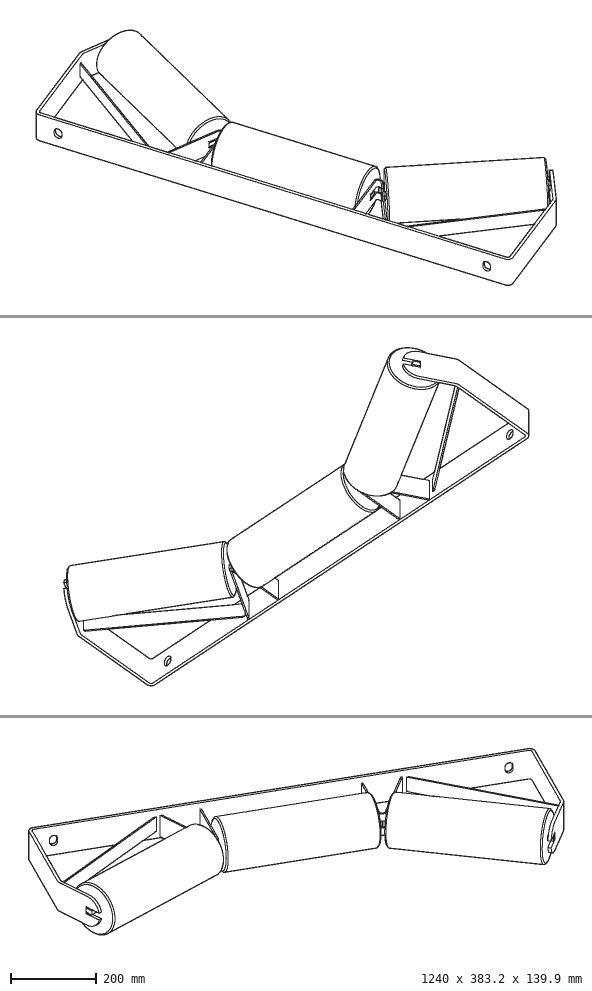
import cadquery as cq
import math

FRAME_WIDTH = 1240.0
FRAME_HEIGHT = 79.0
FRAME_THICKNESS = 8.0
FRAME_CORNER_RADIUS = 14.0
ARM_BEND_RADIUS = 19.0
ARM_BEND_Y = 248.0
ARM_LENGTH = 134.0
SHAFT_TO_ARM_BEND = 100.0
MOUNT_HOLE_X = 558.0
MOUNT_HOLE_WIDTH = 20.0
MOUNT_HOLE_LENGTH = 27.0

TROUGH_ANGLE = 30.0
ROLLER_DIAMETER = 133.0
ROLLER_LENGTH = 380.0
ROLLER_CHAMFER = 4.0
ROLLER_GAP = 6.0
CENTRE_ROLLER_Y = 126.0
CENTRE_ROLLER_DROP = 7.0

SHAFT_DIAMETER = 20.0
SHAFT_FLATS = 11.8
SLOT_WIDTH = 19.0

PLATE_THICKNESS = 4.0
BRACKET_HEIGHT = 60.0
BRACKET_TOP_Y = 153.0
BRACKET_BEND_RADIUS = 7.0

STAY_HEIGHT = 40.0
STAY_WALL_Y = 235.0
STAY_FOOT_X = 306.0

SIN_TROUGH = math.sin(math.radians(TROUGH_ANGLE))
COS_TROUGH = math.cos(math.radians(TROUGH_ANGLE))

CUT_LENGTH = 12.0
SLOT_CUT_DEPTH = 124.0

INNER_FACE = ROLLER_LENGTH / 2 + ROLLER_GAP
BRACKET_SHAFT_END = INNER_FACE + PLATE_THICKNESS
ARM_SHAFT_END = INNER_FACE + FRAME_THICKNESS

SIDE_ROLLER_X = FRAME_WIDTH / 2 - SHAFT_TO_ARM_BEND * SIN_TROUGH - ARM_SHAFT_END * COS_TROUGH
SIDE_ROLLER_Y = ARM_BEND_Y + SHAFT_TO_ARM_BEND * COS_TROUGH - ARM_SHAFT_END * SIN_TROUGH
SIDE_ROLLER_TILT = math.degrees(math.asin(CENTRE_ROLLER_DROP / ROLLER_LENGTH))
SIDE_ROLLER_Z = -CENTRE_ROLLER_DROP / 2


def side_point(along, across):
    """Point (x, y) given along and across the right-hand side roller's axis."""
    return (
        SIDE_ROLLER_X + along * COS_TROUGH - across * SIN_TROUGH,
        SIDE_ROLLER_Y + along * SIN_TROUGH + across * COS_TROUGH,
    )


def mirrored(body):
    """The same body on the left-hand side."""
    return body.mirror("YZ")


def plate(outline, height):
    """Upright plate with the given plan outline, from half its height below Z = 0 to half above."""
    base = cq.Workplane("XY", origin=(0, 0, -height / 2))
    return base.polyline(outline).close().extrude(height)


def bend(body, corner, radius):
    """Round the upright edge at a plan corner."""
    return body.edges(cq.selectors.NearestToPointSelector((*corner, 0))).fillet(radius)


def shaft_slot(along, shaft_z):
    """Cutter for a slot across the side roller's axis, open at its upper (+Y) end."""
    return (
        cq.Workplane("XY")
        .box(CUT_LENGTH, SLOT_CUT_DEPTH, SLOT_WIDTH)
        .translate((along, SLOT_CUT_DEPTH / 2 - SHAFT_DIAMETER / 2, shaft_z))
    )


def at_side(body):
    """Move a body from the axis of a level roller at the origin to the side roller's place."""
    return body.rotate((0, 0, 0), (0, 0, 1), TROUGH_ANGLE).translate((SIDE_ROLLER_X, SIDE_ROLLER_Y, 0))


def make_frame():
    half_width = FRAME_WIDTH / 2
    inner_half_width = half_width - FRAME_THICKNESS
    inner_bend_y = ARM_BEND_Y - FRAME_THICKNESS * math.tan(math.radians(TROUGH_ANGLE / 2))
    tip_across = ARM_LENGTH - SHAFT_TO_ARM_BEND
    outer_corners = [(half_width, 0), (half_width, ARM_BEND_Y)]
    inner_corners = [(inner_half_width, inner_bend_y), (inner_half_width, FRAME_THICKNESS)]
    tip = [side_point(ARM_SHAFT_END, tip_across), side_point(INNER_FACE, tip_across)]

    half = plate([(0, 0), *outer_corners, *tip, *inner_corners, (0, FRAME_THICKNESS)], FRAME_HEIGHT)
    for corner, radius in zip(outer_corners, [FRAME_CORNER_RADIUS, ARM_BEND_RADIUS]):
        half = bend(half, corner, radius)
    for corner, radius in zip(inner_corners, [ARM_BEND_RADIUS, FRAME_CORNER_RADIUS]):
        half = bend(half, corner, radius - FRAME_THICKNESS)

    tip_radius = FRAME_HEIGHT / 2
    round_centre = tip_across - tip_radius
    tip_corners = (
        cq.Workplane("YZ")
        .rect(2 * tip_radius, 2 * FRAME_HEIGHT)
        .extrude(2 * ARM_SHAFT_END)
        .translate((0, tip_radius, 0))
        .cut(cq.Workplane("YZ").circle(tip_radius).extrude(2 * ARM_SHAFT_END))
        .translate((0, round_centre, 0))
    )
    half = half.cut(at_side(tip_corners))
    half = half.cut(at_side(shaft_slot((INNER_FACE + ARM_SHAFT_END) / 2, 0)))

    mount_hole = (
        cq.Workplane("XZ", origin=(MOUNT_HOLE_X, FRAME_THICKNESS, 0))
        .slot2D(MOUNT_HOLE_LENGTH, MOUNT_HOLE_WIDTH, 90)
        .extrude(CUT_LENGTH)
    )
    half = half.cut(mount_hole)
    return half.union(mirrored(half))


def make_bracket():
    """Right-hand bracket: an upright leg, a short flat top and a leg square to the side roller."""

    def leaning_leg_point(along, y):
        start_x, start_y = side_point(along, 0)
        return (start_x - (y - start_y) * math.tan(math.radians(TROUGH_ANGLE)), y)

    under_top_y = BRACKET_TOP_Y - PLATE_THICKNESS
    outer_corners = [(INNER_FACE, BRACKET_TOP_Y), leaning_leg_point(-INNER_FACE, BRACKET_TOP_Y)]
    inner_corners = [leaning_leg_point(-BRACKET_SHAFT_END, under_top_y), (BRACKET_SHAFT_END, under_top_y)]
    leaning_foot = [
        leaning_leg_point(-INNER_FACE, FRAME_THICKNESS),
        leaning_leg_point(-BRACKET_SHAFT_END, FRAME_THICKNESS),
    ]
    upright_foot = [(BRACKET_SHAFT_END, FRAME_THICKNESS), (INNER_FACE, FRAME_THICKNESS)]

    bracket = plate([*outer_corners, *leaning_foot, *inner_corners, *upright_foot], BRACKET_HEIGHT)
    for corner in outer_corners:
        bracket = bend(bracket, corner, BRACKET_BEND_RADIUS)
    for corner in inner_corners:
        bracket = bend(bracket, corner, BRACKET_BEND_RADIUS - PLATE_THICKNESS)

    bracket = bracket.translate((0, 0, -CENTRE_ROLLER_DROP))

    leg_middle = (INNER_FACE + BRACKET_SHAFT_END) / 2
    level_slot = shaft_slot(leg_middle, -CENTRE_ROLLER_DROP).translate((0, CENTRE_ROLLER_Y, 0))
    leaning_slot = at_side(shaft_slot(-leg_middle, -CENTRE_ROLLER_DROP))
    return bracket.cut(level_slot).cut(leaning_slot)


def make_stay():
    """Right-hand diagonal strip from the frame's base to its upright side."""
    wall_x = FRAME_WIDTH / 2 - FRAME_THICKNESS
    slope = math.atan2(STAY_WALL_Y - FRAME_THICKNESS, wall_x - STAY_FOOT_X)
    outline = [
        (STAY_FOOT_X, FRAME_THICKNESS),
        (STAY_FOOT_X + PLATE_THICKNESS / math.sin(slope), FRAME_THICKNESS),
        (wall_x, STAY_WALL_Y - PLATE_THICKNESS / math.cos(slope)),
        (wall_x, STAY_WALL_Y),
    ]
    return plate(outline, STAY_HEIGHT)


def make_roller(outer_shaft_end):
    """Roller with its shaft along X, centred on the origin; the +X shaft end reaches outer_shaft_end."""
    shell = (
        cq.Workplane("YZ")
        .circle(ROLLER_DIAMETER / 2)
        .extrude(ROLLER_LENGTH)
        .translate((-ROLLER_LENGTH / 2, 0, 0))
        .edges("%CIRCLE")
        .chamfer(ROLLER_CHAMFER)
    )
    shaft = (
        cq.Workplane("YZ", origin=(-BRACKET_SHAFT_END, 0, 0))
        .circle(SHAFT_DIAMETER / 2)
        .extrude(BRACKET_SHAFT_END + outer_shaft_end)
    )
    flats = cq.Workplane("XY").box(2 * ARM_SHAFT_END, SHAFT_DIAMETER, SHAFT_FLATS)
    return shell.union(shaft.intersect(flats))


def make_side_roller():
    level_roller = make_roller(ARM_SHAFT_END)
    tilted = level_roller.rotate((0, 0, 0), (0, 1, 0), -SIDE_ROLLER_TILT)
    return at_side(tilted).translate((0, 0, SIDE_ROLLER_Z))


frame = make_frame()
centre_roller = make_roller(BRACKET_SHAFT_END).translate((0, CENTRE_ROLLER_Y, -CENTRE_ROLLER_DROP))

paired_bodies = []
for right_body in (make_side_roller(), make_bracket(), make_stay()):
    paired_bodies += [right_body.val(), mirrored(right_body).val()]

result = cq.Compound.makeCompound([frame.val(), centre_roller.val(), *paired_bodies])